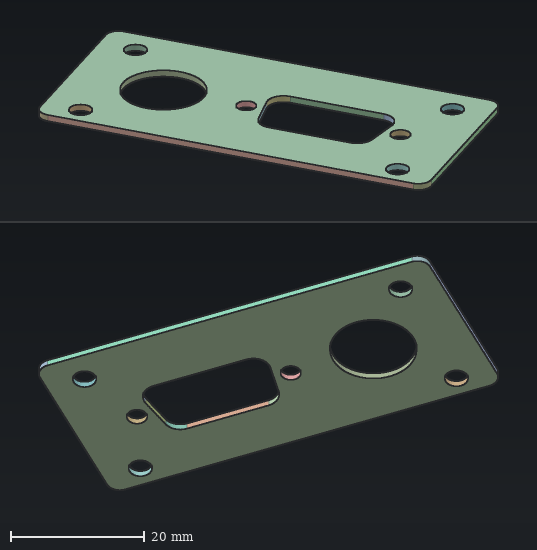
import cadquery as cq

length = 63.5
width = 30.0
thickness = 1.1
corner_radius = 2.1

mount_diameter = 3.5
mount_spacing_x = 51.45
mount_spacing_y = 21.5
mount_center_y = -0.75

round_diameter = 13.0
round_center = (-16.75, -0.7)

connector_center = (9.2, -0.75)
connector_height = 10.65
connector_top_width = 21.35
connector_bottom_width = 17.65
connector_corner_radius = 2.6
screw_diameter = 3.05
screw_spacing = 25.0


def round_holes(points, diameter):
    """Cylinders through the plate thickness at the given points."""
    return cq.Workplane("XY").pushPoints(points).circle(diameter / 2).extrude(thickness)


def connector_opening():
    """Trapezoidal prism with rounded corners."""
    x, y = connector_center
    top = connector_height / 2
    outline = [
        (-connector_top_width / 2, top),
        (connector_top_width / 2, top),
        (connector_bottom_width / 2, -top),
        (-connector_bottom_width / 2, -top),
    ]
    prism = cq.Workplane("XY").center(x, y).polyline(outline).close().extrude(thickness)
    return prism.edges("|Z").fillet(connector_corner_radius)


plate = cq.Workplane("XY").box(length, width, thickness, centered=(True, True, False))
plate = plate.edges("|Z").fillet(corner_radius)

mount_points = [
    (side_x * mount_spacing_x / 2, mount_center_y + side_y * mount_spacing_y / 2)
    for side_x in (-1, 1)
    for side_y in (-1, 1)
]
screw_points = [
    (connector_center[0] + side * screw_spacing / 2, connector_center[1])
    for side in (-1, 1)
]

result = (
    plate
    .cut(round_holes(mount_points, mount_diameter))
    .cut(round_holes([round_center], round_diameter))
    .cut(round_holes(screw_points, screw_diameter))
    .cut(connector_opening())
)